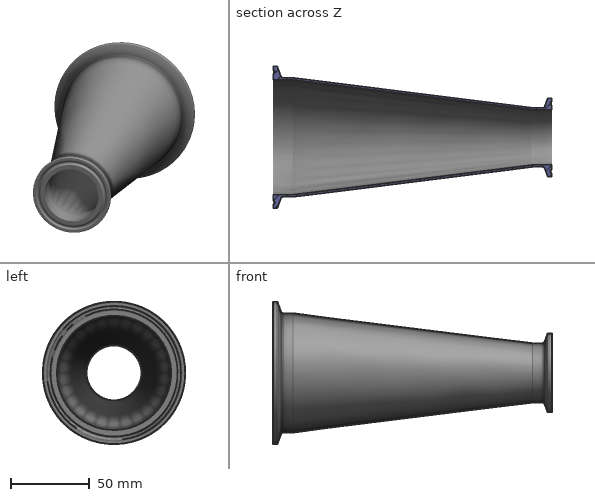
import cadquery as cq
import math

length = 177.8
ferrule_length = 12.6

large_flange_diameter = 90.9
large_tube_diameter = 76.3
large_bore_diameter = 72.9

small_flange_diameter = 50.3
small_tube_diameter = 38.0
small_bore_diameter = 34.8

rim_thickness = 2.8
clamp_angle = 20.0
rim_back_fillet = 0.9
rim_face_fillet = 0.45
neck_fillet = 1.0

large_groove_diameter = 83.2
small_groove_diameter = 43.4
groove_width = 2.3
groove_depth = 1.0
groove_edge_fillet = 0.45


def flange_back_foot(flange_radius, tube_radius):
    """Distance from the end face to where the sloped back meets the tube."""
    return rim_thickness + (flange_radius - tube_radius) * math.tan(math.radians(clamp_angle))


def circles_at(body, x, max_radius=large_flange_diameter / 2, min_radius=0):
    """Circular edges lying at x, with a radius between the two limits."""
    margin = 0.02

    def is_wanted(edge):
        return abs(edge.Center().x - x) < margin and min_radius - margin < edge.radius() < max_radius + margin

    return body.edges("%CIRCLE").filter(is_wanted)


def make_outer_body():
    """Solid of revolution with both flanges, both tube ends and the cone."""
    large_flange = large_flange_diameter / 2
    large_tube = large_tube_diameter / 2
    small_flange = small_flange_diameter / 2
    small_tube = small_tube_diameter / 2
    large_foot = flange_back_foot(large_flange, large_tube)
    small_foot = flange_back_foot(small_flange, small_tube)
    profile = [
        (0, 0),
        (0, large_flange),
        (rim_thickness, large_flange),
        (large_foot, large_tube),
        (ferrule_length, large_tube),
        (length - ferrule_length, small_tube),
        (length - small_foot, small_tube),
        (length - rim_thickness, small_flange),
        (length, small_flange),
        (length, 0),
    ]
    body = cq.Workplane("XY").polyline(profile).close().revolve(360, (0, 0), (1, 0))

    for foot_x in (large_foot, length - small_foot):
        body = circles_at(body, foot_x).fillet(neck_fillet)
    for back_x in (rim_thickness, length - rim_thickness):
        body = circles_at(body, back_x).fillet(rim_back_fillet)
    for face_x in (0, length):
        body = circles_at(body, face_x).fillet(rim_face_fillet)
    return body


def make_bore():
    """Straight bore in each ferrule, joined by a cone."""
    profile = [
        (0, 0),
        (0, large_bore_diameter / 2),
        (ferrule_length, large_bore_diameter / 2),
        (length - ferrule_length, small_bore_diameter / 2),
        (length, small_bore_diameter / 2),
        (length, 0),
    ]
    return cq.Workplane("XY").polyline(profile).close().revolve(360, (0, 0), (1, 0))


def cut_groove(body, face_x, inward, diameter):
    """Sink a ring of circular-arc section into the end face at face_x and round its edges."""
    middle = diameter / 2
    inner = middle - groove_width / 2
    outer = middle + groove_width / 2
    ring = (
        cq.Workplane("XY")
        .moveTo(face_x, inner)
        .threePointArc((face_x + inward * groove_depth, middle), (face_x, outer))
        .close()
        .revolve(360, (0, 0), (1, 0))
    )
    return circles_at(body.cut(ring), face_x, outer, inner).fillet(groove_edge_fillet)


result = make_outer_body().cut(make_bore())
result = cut_groove(result, 0, 1, large_groove_diameter)
result = cut_groove(result, length, -1, small_groove_diameter)